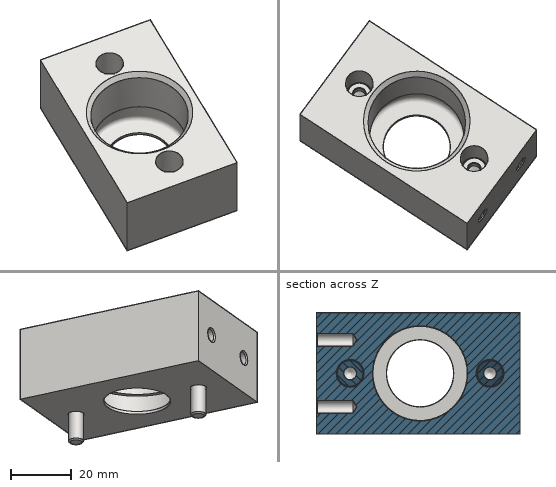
import cadquery as cq
import math

block_length = 67.0
block_width = 40.0
block_height = 25.0

socket_x = 34.1
socket_mouth_diameter = 35.0
socket_throat_diameter = 32.0
socket_taper_angle = 2.0
socket_taper_length = 14.5
chamber_diameter = 34.0
chamber_floor_fillet = 1.5
chamber_floor_thickness = 1.0
through_bore_diameter = 22.0

screw_spacing = 46.0
screw_diameter = 5.0
screw_length = 20.0
screw_projection = 10.0
screw_tip_chamfer = 0.5
head_diameter = 8.5
head_height = 5.0
head_chamfer = 0.4
drive_diameter = 4.13
drive_chamfer_diameter = 4.6
drive_depth = 2.5
counterbore_diameter = 9.0
clearance_diameter = 5.3

tapped_hole_spacing = 22.0
tapped_hole_height = block_height / 2
tapped_core_diameter = 4.13
tapped_mouth_diameter = 5.0
tapped_depth = 12.0
drill_point_angle = 118.0

screw_places = [(socket_x + side * screw_spacing / 2, 0.0) for side in (-1, 1)]
seat_height = screw_length - screw_projection


def blind_hole(core_diameter, mouth_diameter, depth):
    """Drilled hole along -Z from the origin, with a 45 degree mouth chamfer and a conical bottom."""
    core_radius = core_diameter / 2
    mouth_radius = mouth_diameter / 2
    point_depth = core_radius / math.tan(math.radians(drill_point_angle / 2))
    return (
        cq.Workplane("XZ")
        .moveTo(0, 0)
        .lineTo(mouth_radius, 0)
        .lineTo(core_radius, core_radius - mouth_radius)
        .lineTo(core_radius, -depth)
        .lineTo(0, -depth - point_depth)
        .close()
        .revolve(360, (0, 0, 0), (0, 1, 0))
    )


def make_socket():
    """Revolved void: chamfered mouth, tapered seat, wider chamber with a rounded floor, through bore."""
    mouth_radius = socket_mouth_diameter / 2
    throat_radius = socket_throat_diameter / 2
    lip_radius = throat_radius - socket_taper_length * math.tan(math.radians(socket_taper_angle))
    chamber_radius = chamber_diameter / 2
    bore_radius = through_bore_diameter / 2

    throat_height = block_height - (mouth_radius - throat_radius)
    lip_height = throat_height - socket_taper_length
    fillet_top = chamber_floor_thickness + chamber_floor_fillet
    return (
        cq.Workplane("XZ")
        .moveTo(0, 0)
        .lineTo(bore_radius, 0)
        .lineTo(bore_radius, chamber_floor_thickness)
        .lineTo(chamber_radius - chamber_floor_fillet, chamber_floor_thickness)
        .radiusArc((chamber_radius, fillet_top), -chamber_floor_fillet)
        .lineTo(chamber_radius, lip_height)
        .lineTo(lip_radius, lip_height)
        .lineTo(throat_radius, throat_height)
        .lineTo(mouth_radius, block_height)
        .lineTo(0, block_height)
        .close()
        .revolve(360, (0, 0, 0), (0, 1, 0))
        .translate((socket_x, 0, 0))
    )


def make_housing():
    block = cq.Workplane("XY").box(
        block_length, block_width, block_height, centered=(False, True, False)
    )
    block = block.cut(make_socket())

    block = (
        block.faces(">Z")
        .workplane(origin=(0, 0, block_height))
        .pushPoints(screw_places)
        .cboreHole(clearance_diameter, counterbore_diameter, block_height - seat_height)
    )

    tapped_hole = blind_hole(tapped_core_diameter, tapped_mouth_diameter, tapped_depth)
    tapped_hole = tapped_hole.rotate((0, 0, 0), (0, 1, 0), -90)
    for side in (-1, 1):
        place = (0, side * tapped_hole_spacing / 2, tapped_hole_height)
        block = block.cut(tapped_hole.translate(place))
    return block


def make_screw(place):
    """Cap screw with its head resting on the counterbore floor."""
    shank = (
        cq.Workplane("XY")
        .circle(screw_diameter / 2)
        .extrude(-screw_length)
        .faces("<Z")
        .chamfer(screw_tip_chamfer)
    )
    head = (
        cq.Workplane("XY")
        .circle(head_diameter / 2)
        .extrude(head_height)
        .faces(">Z")
        .chamfer(head_chamfer)
    )
    drive = blind_hole(drive_diameter, drive_chamfer_diameter, drive_depth)
    screw = head.union(shank).cut(drive.translate((0, 0, head_height)))
    return screw.translate((*place, seat_height))


housing = make_housing()
screws = [make_screw(place) for place in screw_places]

result = cq.Compound.makeCompound([housing.val(), *[screw.val() for screw in screws]])